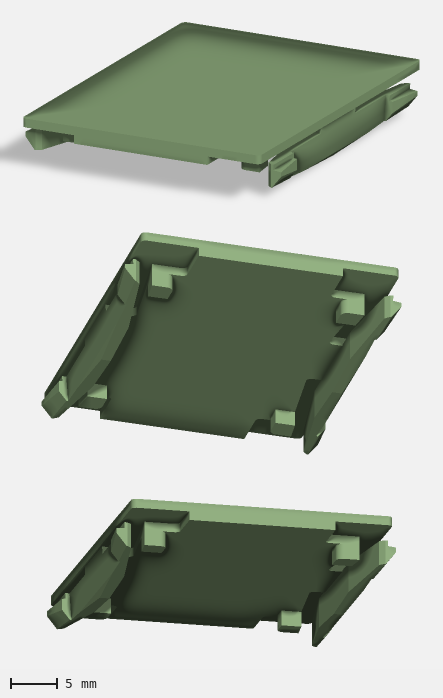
import cadquery as cq
import math

plate_width = 28.6
plate_length = 37.5
plate_thickness = 1.0
corner_radius = 0.55

base_bottom = -1.95
block_half_width = 8.0
shoulder_half_width = 11.8
shoulder_half_length = 13.95
slot_wall_angle = 6.5

foot_width = 2.45
foot_bottom = -3.6
foot_radius = 0.75

root_half_length = 3.95
arm_half_length = 15.85
arm_top = -1.8
arm_bottom = -5.5
arm_end_bottom = -4.42
arm_inner_x = 12.3
arm_outer_x = 14.05
arm_straight_half_length = 6.7
arm_tip_inner_x = 13.6
arm_tip_chamfer_length = 0.5
arm_tip_end_x = 14.15
draft_angle = 4.0

hook_inner_end_y = 11.1
hook_wall_x = 14.47
hook_tip_x = 15.35
hook_tip_x_at_inner_end = 14.8
ledge_wall_z = -2.42
ledge_tip_z = -2.53
hook_tip_bottom = -3.03
lead_in_angle = 51.1

base_top = -plate_thickness
draft = math.tan(math.radians(draft_angle))
lead_in = math.tan(math.radians(lead_in_angle))


def mirrored_pair(solid, plane):
    return solid.union(solid.mirror(plane))


def extruded_plan(points, bottom, top):
    """Outline in X and Y, filled between two heights."""
    return cq.Workplane("XY").workplane(offset=bottom).polyline(points).close().extrude(top - bottom)


def extruded_section(points, start_y, end_y):
    """Outline in X and Z, filled between two Y positions."""
    return cq.Workplane("XZ", origin=(0, start_y, 0)).polyline(points).close().extrude(start_y - end_y)


def lead_in_x(z):
    """X of the sloping lead-in face at a given height."""
    return hook_tip_x - (hook_tip_bottom - z) / lead_in


def make_plate():
    plate = cq.Workplane("XY").box(plate_width, plate_length, plate_thickness, centered=(True, True, False))
    return plate.translate((0, 0, base_top)).edges("|Z").fillet(corner_radius)


def make_base():
    slot_depth = (shoulder_half_length - root_half_length) * math.tan(math.radians(slot_wall_angle))
    slot_end_x = shoulder_half_width - slot_depth
    base_height = base_top - base_bottom
    block = cq.Workplane("XY").box(2 * block_half_width, plate_length, base_height)
    block = block.translate((0, 0, (base_top + base_bottom) / 2))
    shoulder_outline = [
        (0, -shoulder_half_length),
        (shoulder_half_width, -shoulder_half_length),
        (slot_end_x, -root_half_length),
        (arm_inner_x, -root_half_length),
        (arm_inner_x, root_half_length),
        (slot_end_x, root_half_length),
        (shoulder_half_width, shoulder_half_length),
        (0, shoulder_half_length),
    ]
    shoulder = extruded_plan(shoulder_outline, base_bottom, base_top)
    base = block.union(mirrored_pair(shoulder, "YZ"))
    for corner_x, corner_y in ((block_half_width, shoulder_half_length), (slot_end_x, root_half_length)):
        for x in (-corner_x, corner_x):
            for y in (-corner_y, corner_y):
                corner = cq.selectors.NearestToPointSelector((x, y, (base_top + base_bottom) / 2))
                base = base.edges(corner).fillet(corner_radius)
    return base


def make_foot():
    """Foot at the +X, -Y shoulder corner, with its outer side following the slot wall."""
    near_y = -shoulder_half_length
    far_y = near_y + foot_width
    inner_x = shoulder_half_width - foot_width
    far_x = shoulder_half_width - foot_width * math.tan(math.radians(slot_wall_angle))
    outline = [(inner_x, near_y), (shoulder_half_width, near_y), (far_x, far_y), (inner_x, far_y)]
    foot = extruded_plan(outline, foot_bottom, base_top)
    return foot.edges("|Z and <X and <Y").fillet(foot_radius)


def make_arm_wall():
    """Drafted outer wall, full height at the root and lower towards the ends."""
    crossing_z = base_top - (arm_outer_x - lead_in_x(base_top)) / (draft - 1 / lead_in)
    crossing_x = lead_in_x(crossing_z)
    section = [
        (arm_inner_x, base_top),
        (arm_outer_x, base_top),
        (crossing_x, crossing_z),
        (lead_in_x(arm_bottom), arm_bottom),
        (arm_inner_x, arm_bottom),
    ]
    wall = extruded_section(section, -arm_half_length, arm_half_length)
    end_gap = extruded_plan(
        [
            (arm_inner_x, root_half_length),
            (hook_tip_x, root_half_length),
            (hook_tip_x, arm_half_length),
            (arm_inner_x, arm_half_length),
        ],
        arm_top,
        base_top,
    )
    return wall.cut(mirrored_pair(end_gap, "XZ"))


def make_hook():
    """Snap hook at the +Y end, narrowing towards mid-length."""
    section = [
        (arm_inner_x, arm_top),
        (hook_wall_x, arm_top),
        (hook_wall_x - draft * (arm_top - ledge_wall_z), ledge_wall_z),
        (hook_tip_x, ledge_tip_z),
        (hook_tip_x, hook_tip_bottom),
        (lead_in_x(arm_bottom), arm_bottom),
        (arm_inner_x, arm_bottom),
    ]
    taper = [
        (arm_inner_x, hook_inner_end_y),
        (hook_tip_x_at_inner_end, hook_inner_end_y),
        (hook_tip_x, arm_half_length),
        (arm_inner_x, arm_half_length),
    ]
    hook = extruded_section(section, hook_inner_end_y, arm_half_length)
    return hook.intersect(extruded_plan(taper, arm_bottom, arm_top))


def make_arm():
    """Spring arm on the +X side, with thinned ends and a shallow V along its bottom."""
    arm = make_arm_wall().union(mirrored_pair(make_hook(), "XZ"))
    thinning = [
        (arm_inner_x, arm_straight_half_length),
        (arm_tip_inner_x, arm_half_length - arm_tip_chamfer_length),
        (arm_tip_end_x, arm_half_length),
        (arm_inner_x, arm_half_length),
    ]
    arm = arm.cut(mirrored_pair(extruded_plan(thinning, arm_bottom, base_top), "XZ"))
    side_outline = [
        (-arm_half_length, base_top),
        (-arm_half_length, arm_end_bottom),
        (0, arm_bottom),
        (arm_half_length, arm_end_bottom),
        (arm_half_length, base_top),
    ]
    side = cq.Workplane("YZ").polyline(side_outline).close().extrude(hook_tip_x)
    return arm.intersect(side)


feet = mirrored_pair(mirrored_pair(make_foot(), "XZ"), "YZ")
arms = mirrored_pair(make_arm(), "YZ")
result = make_plate().union(make_base()).union(feet).union(arms)